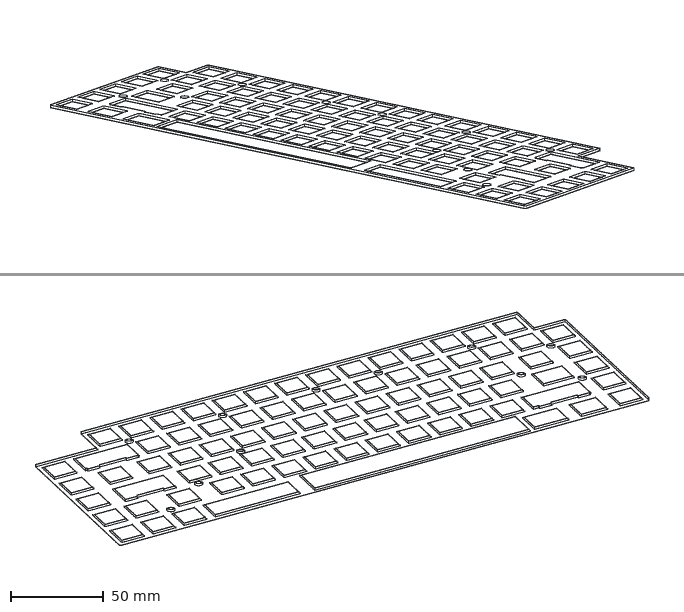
import cadquery as cq

PLATE_LENGTH = 324
PLATE_THICKNESS = 1.5
COLUMN_COUNT = 17
ROW_COUNT = 6
FRONT_CORNER_RADIUS = 1.0
PITCH = PLATE_LENGTH / COLUMN_COUNT
PLATE_DEPTH = ROW_COUNT * PITCH
STEP = PITCH / 8
STEPS_PER_KEY = 8

TOP_BLOCK_START = 1
TOP_BLOCK_END = 15

SWITCH_SIZE = 14.0
STABILIZER_OUTER_REACH = 15.5
STABILIZER_INNER_REACH = 8.0
STABILIZER_DROP = 1.0
SPACE_BAR_FIRST = 33
SPACE_BAR_END_KEY = 84
SPACE_BAR_STABILIZER_WIDTH = 7.0
SPACE_BAR_BOTTOM = 2.0
SPACE_BAR_TOP = 19.5
MOUNTING_HOLE_DIAMETER = 4.5

KEY_RUNS = [
    (0, 12, 14),
    (1, 4, 14), (1, 132, 1),
    (2, 4, 1), (2, 14, 1), (2, 24, 12), (2, 122, 1), (2, 132, 1),
    (3, 4, 1), (3, 26, 11), (3, 132, 1),
    (4, 4, 1), (4, 30, 10), (4, 113, 1), (4, 124, 2),
    (5, 4, 1), (5, 116, 3),
]

SHARED_OPENINGS = [
    (1, 116, 124),
    (3, 13, 15),
    (4, 13, 22),
    (5, 13, 14), (5, 23, 26), (5, 92, 108),
]

STABILIZED_KEYS = [(1, 120), (3, 119), (4, 17)]

MOUNTING_HOLES = [
    (24, 8), (48, 8), (64, 8), (88, 8), (112, 8),
    (8, 16),
    (20, 24.1), (92, 24),
    (8.6, 32), (107.2, 32.1),
    (118.2, 39.3),
]


def row_centre(row):
    return PLATE_DEPTH - (row + 0.5) * PITCH


def cutter(left, right, bottom, top):
    """Box that cuts a rectangular opening through the plate."""
    block = cq.Workplane("XY").box(right - left, top - bottom, PLATE_THICKNESS, centered=False)
    return block.translate((left, bottom, 0))


def switch_opening(row, first, last):
    """Opening of switch height reaching from the first key centre to the last."""
    half = SWITCH_SIZE / 2
    y = row_centre(row)
    return cutter(first * STEP - half, last * STEP + half, y - half, y + half)


def stabilizer_openings(row, centre):
    """Wide opening with a lower cutout near each end."""
    x = centre * STEP
    top = row_centre(row) + SWITCH_SIZE / 2
    bottom = row_centre(row) - SWITCH_SIZE / 2
    drop = bottom - STABILIZER_DROP
    return [
        cutter(x - STABILIZER_OUTER_REACH, x + STABILIZER_OUTER_REACH, bottom, top),
        cutter(x - STABILIZER_OUTER_REACH, x - STABILIZER_INNER_REACH, drop, top),
        cutter(x + STABILIZER_INNER_REACH, x + STABILIZER_OUTER_REACH, drop, top),
    ]


def plate_blank():
    shoulder = PLATE_DEPTH - PITCH
    main = cutter(0, PLATE_LENGTH, 0, shoulder).edges("|Z and <Y").fillet(FRONT_CORNER_RADIUS)
    top_block = cutter(TOP_BLOCK_START * PITCH, TOP_BLOCK_END * PITCH, shoulder, PLATE_DEPTH)
    return main.union(top_block)


def key_cutters():
    cutters = []
    for row, first, count in KEY_RUNS:
        for i in range(count):
            centre = first + i * STEPS_PER_KEY
            cutters.append(switch_opening(row, centre, centre))
    for row, first, last in SHARED_OPENINGS:
        cutters.append(switch_opening(row, first, last))
    for row, centre in STABILIZED_KEYS:
        cutters += stabilizer_openings(row, centre)
    return cutters


def space_bar_cutter():
    left = SPACE_BAR_FIRST * STEP - SWITCH_SIZE / 2
    right = SPACE_BAR_END_KEY * STEP + SPACE_BAR_STABILIZER_WIDTH / 2
    return cutter(left, right, SPACE_BAR_BOTTOM, SPACE_BAR_TOP)


def mounting_holes():
    centres = [(x * STEP, PLATE_DEPTH - y * STEP) for x, y in MOUNTING_HOLES]
    radius = MOUNTING_HOLE_DIAMETER / 2
    return cq.Workplane("XY").pushPoints(centres).circle(radius).extrude(PLATE_THICKNESS)


openings = key_cutters() + [space_bar_cutter(), mounting_holes()]
opening_solids = [solid for opening in openings for solid in opening.solids().vals()]
result = cq.Workplane(plate_blank().val().cut(*opening_solids))